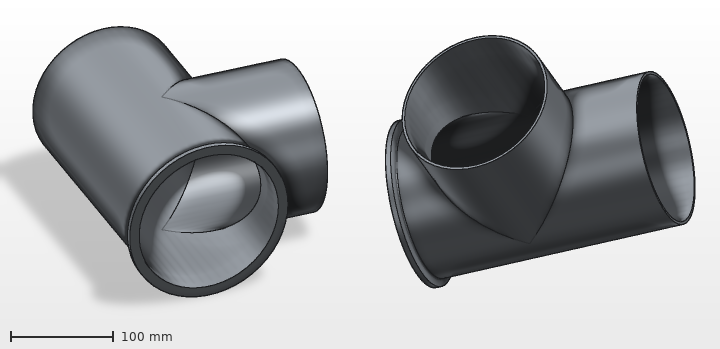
import cadquery as cq
import math

OVERALL_LENGTH = 260.4
OVERALL_WIDTH = 226.2
TUBE_DIAMETER = 152.3
BORE_DIAMETER = 146.8
FLANGE_DIAMETER = 167.0
RIM_THICKNESS = 5.5
CONE_ANGLE = 20.0
ROOT_FILLET = 1.3

TUBE_RADIUS = TUBE_DIAMETER / 2
BORE_RADIUS = BORE_DIAMETER / 2
FLANGE_RADIUS = FLANGE_DIAMETER / 2

LEG_LENGTH = OVERALL_WIDTH - FLANGE_RADIUS
RUN_START = -LEG_LENGTH
RUN_END = OVERALL_LENGTH - LEG_LENGTH
RIM_START = RUN_END - RIM_THICKNESS
CONE_LENGTH = (FLANGE_RADIUS - TUBE_RADIUS) * math.tan(math.radians(CONE_ANGLE))
CONE_START = RIM_START - CONE_LENGTH


def flanged_run():
    """Solid run with a flange at +X whose sloped back blends into the tube."""
    profile = [
        (RUN_START, 0),
        (RUN_START, TUBE_RADIUS),
        (CONE_START, TUBE_RADIUS),
        (RIM_START, FLANGE_RADIUS),
        (RUN_END, FLANGE_RADIUS),
        (RUN_END, 0),
    ]
    run = cq.Workplane("XY").polyline(profile).close().revolve(360, (0, 0, 0), (1, 0, 0))
    root_edge = cq.selectors.NearestToPointSelector((CONE_START, 0, 0))
    return run.edges("%CIRCLE").edges(root_edge).fillet(ROOT_FILLET)


def run_bore():
    """Bore through the full length of the run."""
    return cq.Workplane("YZ", origin=(RUN_START, 0, 0)).circle(BORE_RADIUS).extrude(OVERALL_LENGTH)


def branch_cylinder(radius):
    """Cylinder from the run axis out to the branch end at +Y."""
    return cq.Workplane("XZ").circle(radius).extrude(-LEG_LENGTH)


outside = flanged_run().union(branch_cylinder(TUBE_RADIUS))
result = outside.cut(run_bore()).cut(branch_cylinder(BORE_RADIUS))